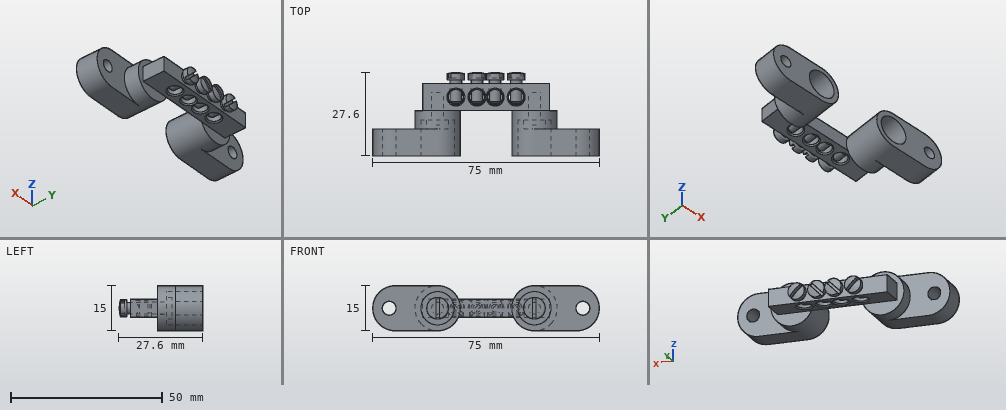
import cadquery as cq
import math


overall_length = 75.0
foot_width = 15.0
foot_radius = foot_width / 2
foot_spacing = 32.0
boss_x = foot_spacing / 2
foot_length = overall_length / 2 - boss_x + foot_radius
plate_thickness = 9.0
boss_height = 15.0
plate_center_x = (overall_length - foot_length) / 2
mount_hole_diameter = 4.5
mount_hole_x = 32.0
bore_diameter = 11.0
bore_depth = 12.0

bar_length = 42.0
bar_depth = 9.0
bar_height = 6.0
bar_back_y = boss_height + bar_depth
bar_center_y = boss_height + bar_depth / 2
wire_hole_diameter = 5.0
wire_hole_chamfer = 0.45
wire_hole_rim_diameter = wire_hole_diameter + 2 * wire_hole_chamfer

foot_screw_diameter = 4.0
foot_head_diameter = 7.2
foot_head_height = 3.0
foot_head_fillet = 0.45
foot_slot_width = 1.1
foot_slot_depth = 1.2
foot_screw_bar_depth = 6.0
foot_screw_length = boss_height - bore_depth + foot_screw_bar_depth

terminal_screw_diameter = 3.9
terminal_tip_y = 17.4
terminal_tip_chamfer = 0.7
terminal_head_diameter = 5.8
terminal_head_y = 25.1
terminal_rim_height = 2.1
terminal_dome_height = 0.45
terminal_head_fillet = 0.2
terminal_slot_width = 1.0
terminal_slot_depth = 1.8
terminal_slot_angle = 45.0
terminal_inner_x = 3.0
terminal_outer_x = 10.0
terminals = [
    (-terminal_outer_x, -terminal_slot_angle),
    (-terminal_inner_x, terminal_slot_angle),
    (terminal_inner_x, terminal_slot_angle),
    (terminal_outer_x, -terminal_slot_angle),
]


def y_cylinder(diameter, x, y_start, y_end):
    """Cylinder along Y between two Y positions."""
    axis = cq.Vector(0, 1, 0)
    return cq.Workplane(cq.Solid.makeCylinder(diameter / 2, y_end - y_start, cq.Vector(x, y_start, 0), axis))


def make_foot(side):
    """Foot on the -X (side = -1) or +X (side = 1) end, with its front face at Y = 0.

    The foot is built on the +X end and turned half a turn about Y for the -X end.
    """
    half_straight = foot_length / 2 - foot_radius
    plate_outline = (
        cq.Workplane("XZ")
        .moveTo(-half_straight, -foot_radius)
        .lineTo(half_straight, -foot_radius)
        .threePointArc((foot_length / 2, 0), (half_straight, foot_radius))
        .lineTo(-half_straight, foot_radius)
        .threePointArc((-foot_length / 2, 0), (-half_straight, -foot_radius))
        .close()
    )
    plate = plate_outline.extrude(-plate_thickness).translate((plate_center_x, 0, 0))
    boss = y_cylinder(foot_width, boss_x, plate_thickness, boss_height)
    mount_hole = y_cylinder(mount_hole_diameter, mount_hole_x, 0, plate_thickness)
    bore = y_cylinder(bore_diameter, boss_x, 0, bore_depth)
    screw_hole = y_cylinder(foot_screw_diameter, boss_x, bore_depth, boss_height)
    foot = plate.union(boss).cut(mount_hole).cut(bore).cut(screw_hole)
    turn = 0 if side > 0 else 180
    return foot.rotate((0, 0, 0), (0, 1, 0), turn)


def make_foot_screw(side):
    """Slotted screw with its head in a boss bore and its shank in the bar."""
    x = side * boss_x
    head_top_y = bore_depth - foot_head_height
    head = y_cylinder(foot_head_diameter, x, head_top_y, bore_depth)
    head = head.faces("<Y").edges().fillet(foot_head_fillet)
    slot = cq.Workplane("XY").box(foot_slot_width, foot_slot_depth, foot_head_diameter)
    slot = slot.translate((x, head_top_y + foot_slot_depth / 2, 0))
    shank = y_cylinder(foot_screw_diameter, x, bore_depth, bore_depth + foot_screw_length)
    return head.cut(slot).union(shank)


def terminal_shank(x, y_end):
    """Round shank with a chamfered tip, from the tip to the given Y position."""
    shank = y_cylinder(terminal_screw_diameter, x, terminal_tip_y, y_end)
    return shank.faces("<Y").edges().chamfer(terminal_tip_chamfer)


def make_terminal_screw(x, slot_angle):
    """Slotted screw whose shallow domed head faces +Y."""
    head_radius = terminal_head_diameter / 2
    rim_y = terminal_head_y + terminal_rim_height
    top_y = rim_y + terminal_dome_height
    dome_radius = (head_radius**2 + terminal_dome_height**2) / (2 * terminal_dome_height)
    dome_half_angle = math.asin(head_radius / dome_radius) / 2
    dome_mid = (
        dome_radius * math.sin(dome_half_angle),
        top_y - dome_radius * (1 - math.cos(dome_half_angle)),
    )
    head = (
        cq.Workplane("XY")
        .moveTo(0, terminal_head_y)
        .lineTo(head_radius, terminal_head_y)
        .lineTo(head_radius, rim_y)
        .threePointArc(dome_mid, (0, top_y))
        .close()
        .revolve(360, (0, 0, 0), (0, 1, 0))
        .faces("<Y")
        .edges()
        .fillet(terminal_head_fillet)
    )
    slot = (
        cq.Workplane("XY")
        .box(terminal_slot_width, terminal_slot_depth, 2 * terminal_head_diameter)
        .translate((0, top_y - terminal_slot_depth / 2, 0))
        .rotate((0, 0, 0), (0, 1, 0), slot_angle)
    )
    return head.cut(slot).translate((x, 0, 0)).union(terminal_shank(x, terminal_head_y))


def wire_hole(x):
    """Hole through the bar along Z, with a chamfered rim at both ends."""
    half_height = bar_height / 2
    hole_radius = wire_hole_diameter / 2
    rim_radius = wire_hole_rim_diameter / 2
    profile = [
        (0, -half_height),
        (rim_radius, -half_height),
        (hole_radius, -half_height + wire_hole_chamfer),
        (hole_radius, half_height - wire_hole_chamfer),
        (rim_radius, half_height),
        (0, half_height),
    ]
    hole = cq.Workplane("XZ").polyline(profile).close().revolve(360, (0, 0, 0), (0, 1, 0))
    return hole.translate((x, bar_center_y, 0))


def make_bar():
    """Bar with a wire hole and a screw hole per terminal, and a blind hole per foot screw."""
    bar = cq.Workplane("XY").box(bar_length, bar_depth, bar_height).translate((0, bar_center_y, 0))
    for x, _ in terminals:
        bar = bar.cut(wire_hole(x)).cut(terminal_shank(x, bar_back_y))
    for side in (-1, 1):
        bar = bar.cut(
            y_cylinder(foot_screw_diameter, side * boss_x, boss_height, boss_height + foot_screw_bar_depth)
        )
    return bar


terminal_bar = make_bar()
feet = [make_foot(side) for side in (-1, 1)]
foot_screws = [make_foot_screw(side) for side in (-1, 1)]
terminal_screws = [make_terminal_screw(x, slot_angle) for x, slot_angle in terminals]

bodies = [terminal_bar, *feet, *foot_screws, *terminal_screws]
result = cq.Compound.makeCompound([body.solids().val() for body in bodies])